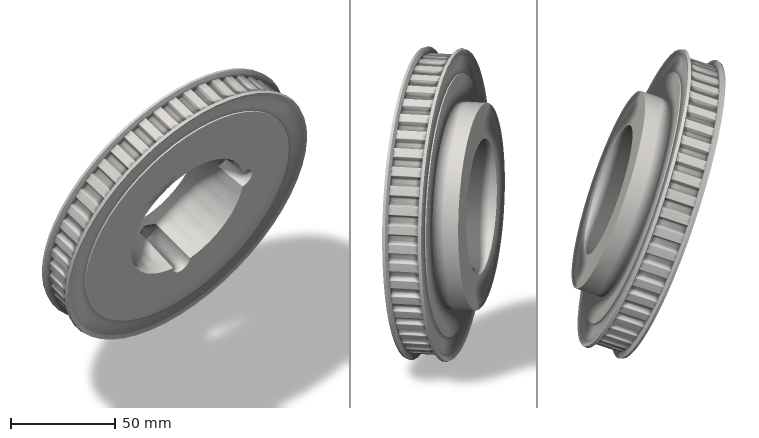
import cadquery as cq
import math


total_width = 31.7

boss_radius = 50.0
disc_radius = 63.6
disc_start = 12.7
bore_small_radius = 32.8
taper_half_angle = 4.0

plain_hole_radius = 5.7
plain_hole_angle = 0.0
plain_hole_start = 14.7
drilled_hole_radius = 5.3
drilled_hole_angle = -96.0
drilled_hole_start = 6.2
drill_point_angle = 118.0

tooth_count = 48
tip_radius = 72.4
groove_depth = 2.7
groove_floor_width = 3.0
groove_wall_angle = 20.0
groove_floor_fillet = 0.6
tooth_tip_fillet = 0.3

flange_radius = 75.5
flange_thickness = 1.5
flange_start = 12.5
flange_setback = 0.8
rim_angle = 18.0

bore_large_radius = bore_small_radius + total_width * math.tan(math.radians(taper_half_angle))
flange_depth = flange_setback + flange_thickness
ring_start = flange_start + flange_depth
ring_width = total_width - flange_depth - ring_start
groove_floor_radius = tip_radius - groove_depth


def revolve_about_x(points):
    """Solid of revolution from (x, radius) points."""
    return cq.Workplane("XZ").polyline(points).close().revolve(360, (0, 0, 0), (1, 0, 0))


def place_at_bore_wall(hole, angle):
    """Move a hole from the X axis to the bore's edge at the far face."""
    direction = math.radians(angle)
    return hole.translate(
        (0, bore_large_radius * math.cos(direction), bore_large_radius * math.sin(direction))
    )


def make_plain_hole():
    hole = (
        cq.Workplane("YZ", origin=(plain_hole_start, 0, 0))
        .circle(plain_hole_radius)
        .extrude(total_width - plain_hole_start)
    )
    return place_at_bore_wall(hole, plain_hole_angle)


def make_drilled_hole():
    point_length = drilled_hole_radius / math.tan(math.radians(drill_point_angle / 2))
    hole = revolve_about_x([
        (drilled_hole_start - point_length, 0),
        (drilled_hole_start, drilled_hole_radius),
        (total_width, drilled_hole_radius),
        (total_width, 0),
    ])
    return place_at_bore_wall(hole, drilled_hole_angle)


def make_hub():
    hub = revolve_about_x([
        (0, bore_small_radius),
        (0, boss_radius),
        (disc_start, boss_radius),
        (disc_start, disc_radius),
        (total_width, disc_radius),
        (total_width, bore_large_radius),
    ])
    return hub.cut(make_plain_hole()).cut(make_drilled_hole())


def make_groove_cutter():
    """Flaring bar with a round-cornered floor that cuts the groove centred on +Y."""
    outer_radius = tip_radius + groove_depth
    flare = (outer_radius - groove_floor_radius) * math.tan(math.radians(groove_wall_angle))
    floor_half = groove_floor_width / 2
    outer_half = floor_half + flare
    return (
        cq.Workplane("YZ", origin=(ring_start, 0, 0))
        .polyline([
            (groove_floor_radius, -floor_half),
            (outer_radius, -outer_half),
            (outer_radius, outer_half),
            (groove_floor_radius, floor_half),
        ])
        .close()
        .extrude(ring_width)
        .edges("|X and <Y")
        .fillet(groove_floor_fillet)
    )


def is_tooth_tip(edge):
    """True for an edge along X that lies on the tip circle."""
    centre = edge.Center()
    return math.isclose(math.hypot(centre.y, centre.z), tip_radius, abs_tol=0.02)


def make_toothed_ring():
    ring = (
        cq.Workplane("YZ", origin=(ring_start, 0, 0))
        .circle(tip_radius)
        .circle(disc_radius)
        .extrude(ring_width)
    )
    cutter = make_groove_cutter()
    pitch_angle = 360 / tooth_count
    cutters = [
        cutter.rotate((0, 0, 0), (1, 0, 0), tooth * pitch_angle).val()
        for tooth in range(tooth_count)
    ]
    ring = cq.Workplane(ring.val().cut(*cutters))
    tip_edges = [edge for edge in ring.edges("|X").vals() if is_tooth_tip(edge)]
    return ring.newObject(tip_edges).fillet(tooth_tip_fillet)


def make_flange(edge_x, inward):
    """Flange with its rim edge at edge_x; inward (+1 or -1) points along X to the teeth."""
    lean = math.radians(rim_angle)
    outer_edge_radius = flange_radius - flange_thickness * math.sin(lean)
    outer_bend_radius = outer_edge_radius - flange_setback / math.tan(lean)
    inner_bend_radius = outer_bend_radius + flange_thickness * math.tan(lean / 2)
    profile = [
        (flange_setback, disc_radius),
        (flange_setback, outer_bend_radius),
        (0, outer_edge_radius),
        (flange_thickness * math.cos(lean), flange_radius),
        (flange_depth, inner_bend_radius),
        (flange_depth, disc_radius),
    ]
    return revolve_about_x([(edge_x + inward * depth, radius) for depth, radius in profile])


hub = make_hub()
toothed_ring = make_toothed_ring()
flanges = [
    make_flange(edge_x, inward)
    for edge_x, inward in [(flange_start, 1), (total_width, -1)]
]

result = cq.Compound.makeCompound([
    hub.val(),
    toothed_ring.val(),
    *[flange.val() for flange in flanges],
])